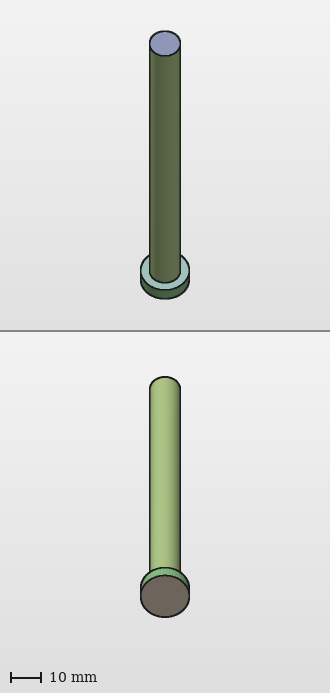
import cadquery as cq

total_length = 130.0
head_diameter = 16.0
head_thickness = 5.0
shank_diameter = 10.1

head = cq.Workplane("XY").circle(head_diameter / 2).extrude(head_thickness)
shank = cq.Workplane("XY").circle(shank_diameter / 2).extrude(total_length)

result = head.union(shank)